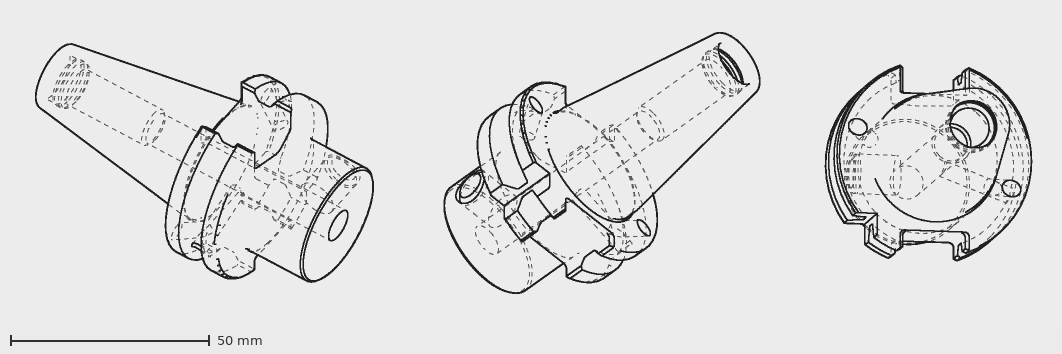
import cadquery as cq
import math

LENGTH = 86.75

TAPER_RATE = 7 / 48
GAUGE_X = 47.5
GAUGE_RADIUS = 15.9
SHANK_END_RADIUS = GAUGE_RADIUS - TAPER_RATE * GAUGE_X
SHANK_END_FILLET = 1.0
SHANK_ROOT_FILLET = 0.5

FLANGE_X = 50.9
FLANGE_THICKNESS = 15.8
FLANGE_BACK_X = FLANGE_X + FLANGE_THICKNESS
FLANGE_RADIUS = 25.0
FLANGE_FRONT_FILLET = 0.5
FLANGE_BACK_FILLET = 0.8
GROOVE_X = 58.6
GROOVE_RADIUS = 22.0
GROOVE_TOP_WIDTH = 6.85
GROOVE_WALL_ANGLE = 60.0
GROOVE_ROOT_FILLET = 0.7

NOSE_RADIUS = 16.05
NOSE_ROOT_FILLET = 2.9
NOSE_END_CHAMFER = 0.5

BORE_RADIUS = 4.25
THREAD_RADIUS = 5.0
THREAD_START_X = 6.9
THREAD_END_X = 30.0
BORE_CONE_LENGTH = THREAD_RADIUS - BORE_RADIUS
PILOT_RADIUS = 6.25
PILOT_DEPTH = 6.25
RELIEF_START_X = 3.7
RELIEF_DEPTH = 0.3
RELIEF_SLOPE = 0.7
PILOT_MOUTH_FILLET = 0.8

SLOT_WIDTH = 16.05
TOP_SLOT_FLOOR = 16.3
BOTTOM_SLOT_FLOOR = 18.7
TOP_SLOT_FILLET = 0.8
BOTTOM_SLOT_FILLET = 1.3
SLOT_CHAMFER = 0.9
SLOT_TIP_DROP = 0.5

NOTCH_OFFSET = 14.75

COOLANT_ANGLE = 20.0
COOLANT_HOLE_DIAMETER = 4.1
COOLANT_FACE_RADIUS = 21.0
COOLANT_SLANT = 33.0

SCREW_X = 77.2
SCREW_DIAMETER = 10.0
SCREW_CHAMFER = 1.4
SCREW_INNER_Y = 4.3
SCREW_OUTER_Y = NOSE_RADIUS

CUT_MARGIN = 4.3


def revolve_about_x(profile):
    """Revolve a closed (x, radius) profile drawn in the XY plane about the X axis."""
    return profile.close().revolve(360, (0, 0, 0), (1, 0, 0))


def fillet_circle(body, x, radius, fillet):
    """Round the circular edge of the given radius that lies around the X axis at station x."""
    tolerance = 0.01

    def is_wanted(edge):
        return (
            edge.geomType() == "CIRCLE"
            and abs(edge.radius() - radius) < tolerance
            and abs(edge.arcCenter().x - x) < tolerance
        )

    return body.edges().filter(is_wanted).fillet(fillet)


def make_turned_body():
    """Solid of revolution: taper shank, flange and nose."""
    body = revolve_about_x(
        cq.Workplane("XY")
        .lineTo(0, SHANK_END_RADIUS)
        .lineTo(GAUGE_X, GAUGE_RADIUS)
        .lineTo(FLANGE_X, GAUGE_RADIUS)
        .lineTo(FLANGE_X, FLANGE_RADIUS)
        .lineTo(FLANGE_BACK_X, FLANGE_RADIUS)
        .lineTo(FLANGE_BACK_X, NOSE_RADIUS)
        .lineTo(LENGTH, NOSE_RADIUS)
        .lineTo(LENGTH, 0)
    )
    for x, radius, fillet in [
        (0, SHANK_END_RADIUS, SHANK_END_FILLET),
        (FLANGE_X, GAUGE_RADIUS, SHANK_ROOT_FILLET),
        (FLANGE_X, FLANGE_RADIUS, FLANGE_FRONT_FILLET),
        (FLANGE_BACK_X, FLANGE_RADIUS, FLANGE_BACK_FILLET),
        (FLANGE_BACK_X, NOSE_RADIUS, NOSE_ROOT_FILLET),
    ]:
        body = fillet_circle(body, x, radius, fillet)
    return body.faces(">X").edges().chamfer(NOSE_END_CHAMFER)


def make_groove():
    """Ring that cuts the V groove, with rounded floor corners."""
    wall_run = (FLANGE_RADIUS - GROOVE_RADIUS) / math.tan(math.radians(GROOVE_WALL_ANGLE))
    half_top = GROOVE_TOP_WIDTH / 2
    half_floor = half_top - wall_run
    rim = FLANGE_RADIUS + CUT_MARGIN
    ring = revolve_about_x(
        cq.Workplane("XY")
        .moveTo(GROOVE_X - half_floor, GROOVE_RADIUS)
        .lineTo(GROOVE_X - half_top, FLANGE_RADIUS)
        .lineTo(GROOVE_X - half_top, rim)
        .lineTo(GROOVE_X + half_top, rim)
        .lineTo(GROOVE_X + half_top, FLANGE_RADIUS)
        .lineTo(GROOVE_X + half_floor, GROOVE_RADIUS)
    )
    for x in (GROOVE_X - half_floor, GROOVE_X + half_floor):
        ring = fillet_circle(ring, x, GROOVE_RADIUS, GROOVE_ROOT_FILLET)
    return ring


def make_bore():
    """Stepped central bore: rounded mouth, pilot, thread hole and through hole."""
    mouth_radius = PILOT_RADIUS + PILOT_MOUTH_FILLET
    relief_radius = PILOT_RADIUS + RELIEF_DEPTH
    arc_inset = PILOT_MOUTH_FILLET * (1 - math.sqrt(0.5))
    return revolve_about_x(
        cq.Workplane("XY")
        .lineTo(0, mouth_radius)
        .threePointArc((arc_inset, PILOT_RADIUS + arc_inset), (PILOT_MOUTH_FILLET, PILOT_RADIUS))
        .lineTo(RELIEF_START_X, PILOT_RADIUS)
        .lineTo(RELIEF_START_X + RELIEF_SLOPE, relief_radius)
        .lineTo(PILOT_DEPTH - RELIEF_SLOPE, relief_radius)
        .lineTo(PILOT_DEPTH, PILOT_RADIUS)
        .lineTo(THREAD_START_X, THREAD_RADIUS)
        .lineTo(THREAD_END_X, THREAD_RADIUS)
        .lineTo(THREAD_END_X + BORE_CONE_LENGTH, BORE_RADIUS)
        .lineTo(LENGTH, BORE_RADIUS)
        .lineTo(LENGTH, 0)
    )


def slot_section(width, floor, fillet):
    """Cross-section of a drive slot in (y, z): open at the rim, rounded at the floor corners."""
    height = FLANGE_RADIUS + CUT_MARGIN - floor
    middle = cq.Location(cq.Vector(0, floor + height / 2, 0))
    return cq.Sketch().rect(width, height).vertices("<Y").fillet(fillet).moved(middle)


def make_slot(floor, fillet):
    """Cutter for the drive slot on the +Z side, with its chamfers, starting at height floor."""
    half_width = SLOT_WIDTH / 2
    half_mouth = half_width + SLOT_CHAMFER
    section = slot_section(SLOT_WIDTH, floor, fillet)
    mouth = slot_section(2 * half_mouth, floor, fillet)
    face = cq.Workplane("YZ", origin=(FLANGE_X, 0, 0))
    slot = face.placeSketch(section).extrude(FLANGE_THICKNESS + CUT_MARGIN)
    chamfer_end = cq.Location(cq.Vector(0, 0, SLOT_CHAMFER))
    slot = slot.union(face.placeSketch(mouth, section.moved(chamfer_end)).loft(ruled=True))
    tip_z = math.sqrt(FLANGE_RADIUS**2 - half_mouth**2)
    tip_chamfer = (
        cq.Workplane("YZ", origin=(FLANGE_X, 0, 0))
        .moveTo(-half_width, tip_z - SLOT_TIP_DROP)
        .lineTo(half_width, tip_z - SLOT_TIP_DROP)
        .lineTo(half_mouth, tip_z)
        .lineTo(half_mouth, tip_z + CUT_MARGIN)
        .lineTo(-half_mouth, tip_z + CUT_MARGIN)
        .lineTo(-half_mouth, tip_z)
        .close()
        .extrude(FLANGE_THICKNESS)
    )
    return slot.union(tip_chamfer)


def make_notch():
    """Square-cornered cutter for the orientation notch through the flange."""
    size = FLANGE_RADIUS + CUT_MARGIN - NOTCH_OFFSET
    return cq.Workplane("XY").box(FLANGE_THICKNESS, size, size, centered=False).translate(
        (FLANGE_X, NOTCH_OFFSET, -NOTCH_OFFSET - size)
    )


def make_slanted_hole():
    """Hole from the flange face towards the axis, on the +Y side before the turn about the axis."""
    slant = math.radians(COOLANT_SLANT)
    inward = cq.Vector(math.cos(slant), -math.sin(slant), 0)
    entry = cq.Vector(FLANGE_X, COOLANT_FACE_RADIUS, 0)
    depth = (GROOVE_X - FLANGE_X) / math.cos(slant)
    return cq.Workplane(
        cq.Solid.makeCylinder(
            COOLANT_HOLE_DIAMETER / 2, depth + CUT_MARGIN, entry - inward * CUT_MARGIN, inward
        )
    )


def make_radial_hole():
    """Hole from the groove to the bore, on the +Y side before the turn about the axis."""
    return cq.Workplane(
        cq.Solid.makeCylinder(
            COOLANT_HOLE_DIAMETER / 2,
            GROOVE_RADIUS + CUT_MARGIN,
            cq.Vector(GROOVE_X, 0, 0),
            cq.Vector(0, 1, 0),
        )
    )


def make_screw_blank(outer_y):
    """Cylinder along +Y on the screw axis, ending at outer_y."""
    return (
        cq.Workplane("XZ", origin=(SCREW_X, SCREW_INNER_Y, 0))
        .circle(SCREW_DIAMETER / 2)
        .extrude(SCREW_INNER_Y - outer_y)
    )


def make_holder():
    holder = make_turned_body().cut(make_groove())
    holder = holder.cut(make_bore())
    holder = holder.cut(make_slot(TOP_SLOT_FLOOR, TOP_SLOT_FILLET))
    bottom_slot = make_slot(BOTTOM_SLOT_FLOOR, BOTTOM_SLOT_FILLET)
    holder = holder.cut(bottom_slot.rotate((0, 0, 0), (1, 0, 0), 180))
    holder = holder.cut(make_notch())
    for turn in (COOLANT_ANGLE, COOLANT_ANGLE + 180):
        holder = holder.cut(make_slanted_hole().rotate((0, 0, 0), (1, 0, 0), turn))
    holder = holder.cut(make_radial_hole().rotate((0, 0, 0), (1, 0, 0), COOLANT_ANGLE + 180))
    return holder.cut(make_screw_blank(NOSE_RADIUS + CUT_MARGIN))


def make_clamping_screw():
    return make_screw_blank(SCREW_OUTER_Y).faces(">Y").edges().chamfer(SCREW_CHAMFER)


holder = make_holder()
clamping_screw = make_clamping_screw()

result = cq.Compound.makeCompound([holder.val(), clamping_screw.val()])